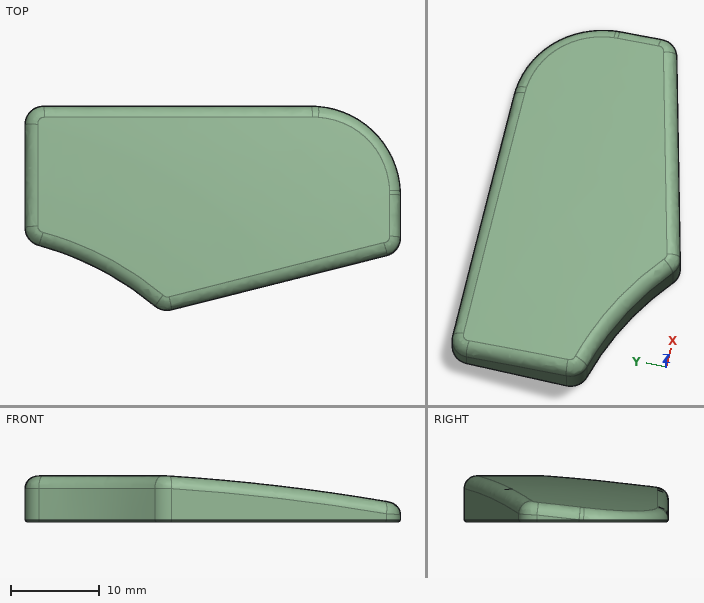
import cadquery as cq
import math

length = 42.4
crown_edge_height = 5.35
back_corner_radius = 10.1
corner_radius = 2.1
top_fillet = 1.45
base_chamfer = 0.2

left_front = (0.0, -15.35)
front_tip = (15.48, -23.28)
right_front = (length, -16.5)
concave_radius = 33.9

crown_start_slope = 0.07
crown_radius = 233.2
crown_reach = 38.15


def concave_arc_center():
    """Centre of the concave front arc, outside the part at the front left."""
    dx = front_tip[0] - left_front[0]
    dy = front_tip[1] - left_front[1]
    chord = math.hypot(dx, dy)
    distance = math.sqrt(concave_radius**2 - (chord / 2) ** 2)
    middle_x = (left_front[0] + front_tip[0]) / 2
    middle_y = (left_front[1] + front_tip[1]) / 2
    return middle_x + distance * dy / chord, middle_y - distance * dx / chord


center_x, center_y = concave_arc_center()


def outline_prism():
    """Straight-sided plate with all outline corners rounded."""
    middle_angle = math.atan2(
        (left_front[1] + front_tip[1]) / 2 - center_y,
        (left_front[0] + front_tip[0]) / 2 - center_x,
    )
    arc_middle = (
        center_x + concave_radius * math.cos(middle_angle),
        center_y + concave_radius * math.sin(middle_angle),
    )
    plate = (
        cq.Workplane("XY")
        .moveTo(0, 0)
        .lineTo(*left_front)
        .threePointArc(arc_middle, front_tip)
        .lineTo(*right_front)
        .lineTo(length, 0)
        .close()
        .extrude(crown_edge_height)
    )
    plate = plate.edges("|Z and >X and >Y").fillet(back_corner_radius)
    for corner in ((0.0, 0.0), left_front, front_tip, right_front):
        nearest = cq.selectors.NearestToPointSelector((*corner, crown_edge_height / 2))
        plate = plate.edges("|Z").edges(nearest).fillet(corner_radius)
    return plate


def crown_body():
    """Solid of revolution about the concave arc centre, bounded above by the crown."""
    start_angle = math.atan(crown_start_slope)

    def crown_point(offset):
        angle = math.asin(math.sin(start_angle) + offset / crown_radius)
        drop = crown_radius * (math.cos(start_angle) - math.cos(angle))
        return concave_radius + offset, crown_edge_height - drop

    inner = concave_radius - corner_radius
    outer, outer_height = crown_point(crown_reach)
    profile = (
        cq.Workplane("XZ", origin=(center_x, center_y, 0))
        .moveTo(inner, 0)
        .lineTo(inner, crown_edge_height)
        .lineTo(concave_radius, crown_edge_height)
        .threePointArc(crown_point(crown_reach / 2), (outer, outer_height))
        .lineTo(outer, 0)
        .close()
    )
    return profile.revolve(360, (0, 0, 0), (0, 1, 0))


body = outline_prism().intersect(crown_body())
body = body.faces("<Z").edges().chamfer(base_chamfer)
result = body.faces(">Z").edges().fillet(top_fillet)